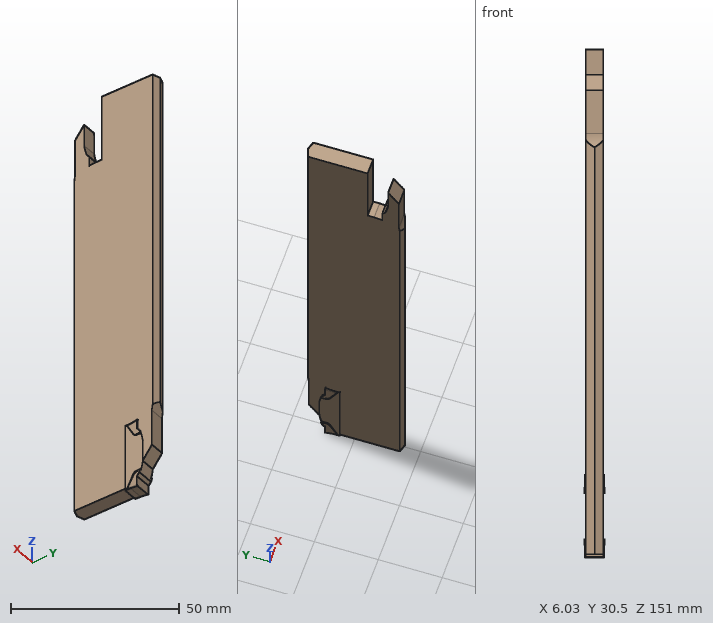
import cadquery as cq


blade_length = 150.0
blade_thickness = 5.2
blade_depth = 30.47
ridge_height = 0.85
ridge_y = blade_depth / 2
side_edge_y = ridge_y - ridge_height

relief_depth = 1.1
relief_end_z = 24.9
relief_radius = 8.6
relief_run = (2 * relief_radius * relief_depth - relief_depth**2) ** 0.5
jaw_front_y = ridge_y - relief_depth
jaw_corner_z = 12.1
jaw_tip_z = 7.6

insert_bottom_z = -1.0
insert_length = 24.75
insert_mid_z = insert_bottom_z + insert_length / 2
insert_top_z = insert_bottom_z + insert_length
insert_width = 6.03
insert_base_y = 4.35
insert_crown_y = 10.73
cutting_edge_y = 8.9
end_break_y = 6.3
end_rise = 0.3
heel_z = insert_top_z - end_rise
rake_foot_z = 20.3
breaker_y = 9.8
breaker_z = 19.2
breaker_mid_y = 10.35
breaker_mid_z = 17.4
crown_end_z = 15.4

flank_low_z = 18.2
flank_bend_y = 8.4
flank_bend_end_y = 7.3
flank_bend_end_z = 19.1
flank_bend_mid_y = 7.8
flank_bend_mid_z = 18.5
flank_heel_y = 4.85
tip_corner_radius = 0.4

overcut = 2.0
tolerance = 0.001


def turned(shape):
    """Half a turn about the X axis through the middle of the blade."""
    axis_start = (0, 0, blade_length / 2)
    axis_end = (1, 0, blade_length / 2)
    return shape.rotate(axis_start, axis_end, 180)


def upper_insert_outline():
    """Outline of the insert's upper end, from the base round to the end of the crown."""
    return (
        cq.Workplane("YZ")
        .moveTo(insert_base_y, insert_mid_z)
        .lineTo(insert_base_y, heel_z)
        .lineTo(end_break_y, heel_z)
        .lineTo(cutting_edge_y, insert_top_z)
        .lineTo(cutting_edge_y, rake_foot_z)
        .lineTo(breaker_y, breaker_z)
        .threePointArc((breaker_mid_y, breaker_mid_z), (insert_crown_y, crown_end_z))
        .lineTo(insert_crown_y, insert_mid_z)
        .close()
    )


def upper_insert(width):
    """Upper half of the insert's shape, with the given width."""
    return upper_insert_outline().extrude(width / 2, both=True)


def make_seat():
    """Cutting body for the insert's seat, open through the end of the blade."""
    seat_width = blade_thickness + overcut
    mouth_corner = (-seat_width / 2, insert_base_y, -overcut)
    mouth = (
        cq.Workplane("XY", origin=mouth_corner)
        .box(seat_width, insert_crown_y - insert_base_y, insert_mid_z + overcut, centered=False)
    )
    return upper_insert(seat_width).union(mouth)


def make_jaw_relief():
    """Cutting body for the front and the slanted end of the jaw."""
    outer_y = ridge_y + overcut
    slope = (insert_crown_y - jaw_front_y) / (jaw_tip_z - jaw_corner_z)
    slant_end_y = jaw_front_y + slope * (-overcut - jaw_corner_z)
    runout_mid_run = relief_run / 2
    runout_mid_rise = relief_radius - (relief_radius**2 - runout_mid_run**2) ** 0.5
    return (
        cq.Workplane("YZ")
        .moveTo(slant_end_y, -overcut)
        .lineTo(jaw_front_y, jaw_corner_z)
        .lineTo(jaw_front_y, relief_end_z)
        .threePointArc(
            (jaw_front_y + runout_mid_rise, relief_end_z + runout_mid_run),
            (ridge_y, relief_end_z + relief_run),
        )
        .lineTo(outer_y, relief_end_z + relief_run)
        .lineTo(outer_y, -overcut)
        .close()
        .extrude(blade_thickness, both=True)
    )


def make_blade():
    half = blade_thickness / 2
    blade = (
        cq.Workplane("XY")
        .polyline(
            [
                (-half, -side_edge_y),
                (0, -ridge_y),
                (half, -side_edge_y),
                (half, side_edge_y),
                (0, ridge_y),
                (-half, side_edge_y),
            ]
        )
        .close()
        .extrude(blade_length)
    )
    for cutter in (make_seat(), make_jaw_relief()):
        blade = blade.cut(cutter).cut(turned(cutter))
    return blade


def make_upper_tip():
    """Wide upper cutting tip: its flanks widen from the base to the chip breaker."""
    half_base = blade_thickness / 2
    half_edge = insert_width / 2
    wedge = (
        cq.Workplane("XY", origin=(0, 0, flank_low_z))
        .polyline(
            [
                (-half_base, insert_base_y),
                (half_base, insert_base_y),
                (half_edge, breaker_y),
                (half_edge, insert_crown_y),
                (-half_edge, insert_crown_y),
                (-half_edge, breaker_y),
            ]
        )
        .close()
        .extrude(insert_top_z - flank_low_z)
    )
    flank = (
        cq.Workplane("YZ")
        .moveTo(insert_crown_y, flank_low_z)
        .lineTo(flank_bend_y, flank_low_z)
        .threePointArc(
            (flank_bend_mid_y, flank_bend_mid_z), (flank_bend_end_y, flank_bend_end_z)
        )
        .lineTo(flank_heel_y, heel_z)
        .lineTo(flank_heel_y, insert_top_z)
        .lineTo(insert_crown_y, insert_top_z)
        .close()
        .extrude(insert_width, both=True)
    )
    tip = wedge.intersect(flank).intersect(upper_insert(insert_width))
    lowest_corner_z = heel_z - tolerance
    end_corners = [
        edge for edge in tip.edges("not |X").vals() if edge.Center().z > lowest_corner_z
    ]
    return cq.Workplane(tip.val().fillet(tip_corner_radius, end_corners))


def make_insert():
    upper = upper_insert(blade_thickness).union(make_upper_tip())
    lower = upper.mirror("XY", (0, 0, insert_mid_z))
    return upper.union(lower)


blade = make_blade()
insert = make_insert()
result = cq.Compound.makeCompound([blade.val(), insert.val()])